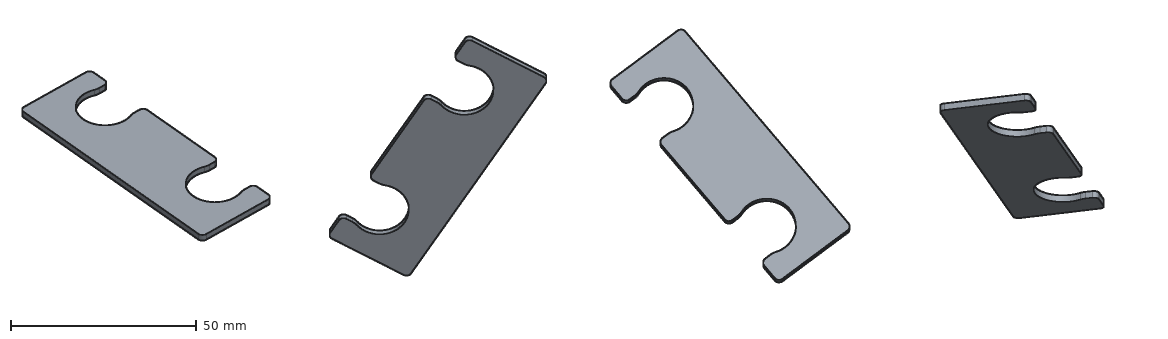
import cadquery as cq

length = 73.65
width = 25.4
thickness = 2.0
corner_radius = 1.5

seat_spacing = 44.5
seat_radius = 7.9
seat_depth = 7.65
mouth_width = 14.2
neck_radius = 4.4

back_y = width / 2
seat_y = back_y - seat_depth


def make_plate():
    return cq.Workplane("XY").box(length, width, thickness)


def make_seat_cutter(seat_x):
    seat = cq.Workplane("XY").center(seat_x, seat_y).circle(seat_radius).extrude(thickness, both=True)
    mouth = (
        cq.Workplane("XY")
        .center(seat_x, seat_y + seat_depth / 2)
        .rect(mouth_width, seat_depth)
        .extrude(thickness, both=True)
    )
    cutter = seat.union(mouth)
    neck_zone = cq.selectors.BoxSelector(
        (seat_x - mouth_width, seat_y + seat_depth * 0.1, -thickness),
        (seat_x + mouth_width, seat_y + seat_depth * 0.9, thickness),
    )
    return cutter.edges("|Z").edges(neck_zone).fillet(neck_radius)


plate = make_plate()
for seat_x in (-seat_spacing / 2, seat_spacing / 2):
    plate = plate.cut(make_seat_cutter(seat_x))

result = plate.edges("|Z").edges("<Y or >Y").fillet(corner_radius)